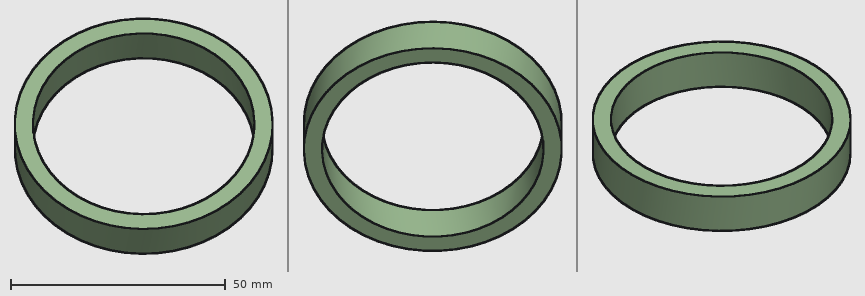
import cadquery as cq

outer_diameter = 60.0
bore_diameter = 51.5
height = 10.0

result = (
    cq.Workplane("XY")
    .circle(outer_diameter / 2)
    .circle(bore_diameter / 2)
    .extrude(height)
)